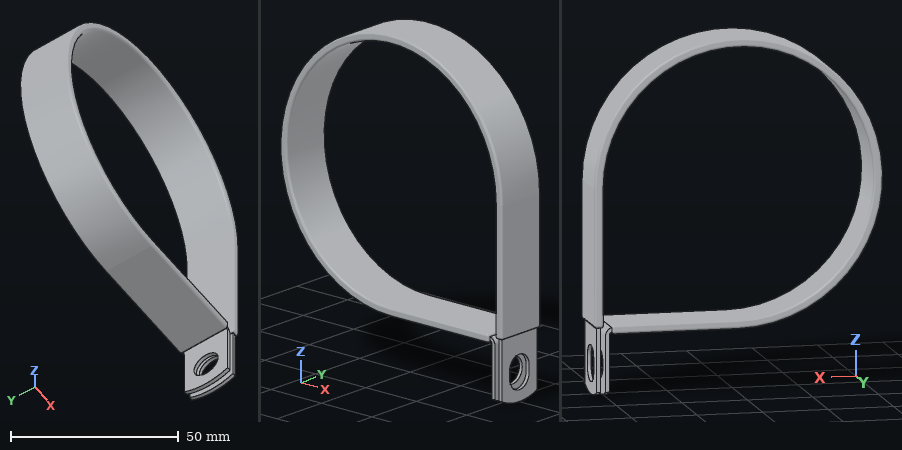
import cadquery as cq
import math

outer_radius = 44.08
cushion_width = 17.46
tab_bottom_z = -63.43

strip_thickness = 1.22
cushion_wall = 0.794
cushion_edge_radius = 0.78
cushion_thickness = strip_thickness + 2 * cushion_wall
strip_width = cushion_width - 2 * cushion_wall
inner_radius = outer_radius - cushion_thickness
strip_outer_radius = outer_radius - cushion_wall
strip_inner_radius = inner_radius + cushion_wall

upright_end_z = -42.1
level_end_x = 38.66
tab_gap = 1.5
bend_inner_radius = 1.27
bend_outer_radius = bend_inner_radius + strip_thickness
bent_tab_outer_x = strip_inner_radius - tab_gap
mid_gap_x = strip_inner_radius - tab_gap / 2
bent_tab_inner_x = bent_tab_outer_x - strip_thickness
bend_center_x = bent_tab_outer_x - bend_outer_radius
bend_center_z = -strip_inner_radius - bend_outer_radius

hole_diameter = 8.73
slot_length = 11.11
hole_z = -54.1
tip_radius = 18.3


def upper_left_mid(radius):
    """Middle of the three-quarter loop arc at the given radius."""
    offset = radius * math.sqrt(0.5)
    return (-offset, offset)


def extrude_centred(outline, width):
    """Extrude an XZ outline by a width shared equally about Y = 0."""
    return outline.close().extrude(width / 2, both=True)


def make_cushion():
    """Three-quarter loop with straight tangent legs and rounded edges."""
    outline = (
        cq.Workplane("XZ")
        .moveTo(outer_radius, upright_end_z)
        .lineTo(outer_radius, 0)
        .threePointArc(upper_left_mid(outer_radius), (0, -outer_radius))
        .lineTo(level_end_x, -outer_radius)
        .lineTo(level_end_x, -inner_radius)
        .lineTo(0, -inner_radius)
        .threePointArc(upper_left_mid(inner_radius), (inner_radius, 0))
        .lineTo(inner_radius, upright_end_z)
    )
    return extrude_centred(outline, cushion_width).edges().fillet(cushion_edge_radius)


def bend_mid(radius):
    """Middle of the quarter-turn bend at the given radius."""
    offset = radius * math.sqrt(0.5)
    return (bend_center_x + offset, bend_center_z + offset)


def make_strip():
    """Loop of flat strip whose two ends hang down as parallel tabs."""
    outline = (
        cq.Workplane("XZ")
        .moveTo(strip_outer_radius, tab_bottom_z)
        .lineTo(strip_outer_radius, 0)
        .threePointArc(upper_left_mid(strip_outer_radius), (0, -strip_outer_radius))
        .lineTo(bend_center_x, -strip_outer_radius)
        .threePointArc(bend_mid(bend_inner_radius), (bent_tab_inner_x, bend_center_z))
        .lineTo(bent_tab_inner_x, tab_bottom_z)
        .lineTo(bent_tab_outer_x, tab_bottom_z)
        .lineTo(bent_tab_outer_x, bend_center_z)
        .threePointArc(bend_mid(bend_outer_radius), (bend_center_x, -strip_inner_radius))
        .lineTo(0, -strip_inner_radius)
        .threePointArc(upper_left_mid(strip_inner_radius), (strip_inner_radius, 0))
        .lineTo(strip_inner_radius, tab_bottom_z)
    )
    return extrude_centred(outline, strip_width)


def make_tip_envelope():
    """Strip-wide prism along X whose lower end is an arc; trims both tab tips."""
    half_width = strip_width / 2
    tip_sag = tip_radius - math.sqrt(tip_radius**2 - half_width**2)
    shoulder_z = tab_bottom_z + tip_sag
    return (
        cq.Workplane("YZ")
        .moveTo(-half_width, outer_radius)
        .lineTo(-half_width, shoulder_z)
        .threePointArc((0, tab_bottom_z), (half_width, shoulder_z))
        .lineTo(half_width, outer_radius)
        .close()
        .extrude(outer_radius, both=True)
    )


def make_screw_hole():
    """Cylinder along X that passes through the bent tab only."""
    return (
        cq.Workplane("YZ")
        .center(0, hole_z)
        .circle(hole_diameter / 2)
        .extrude(mid_gap_x)
    )


def make_adjustment_slot():
    """Upright slot along X that passes through the straight tab only."""
    return (
        cq.Workplane("YZ", origin=(mid_gap_x, 0, hole_z))
        .slot2D(slot_length, hole_diameter, 90)
        .extrude(outer_radius - mid_gap_x)
    )


strip = make_strip().intersect(make_tip_envelope())
strip = strip.cut(make_screw_hole()).cut(make_adjustment_slot())
result = make_cushion().union(strip)